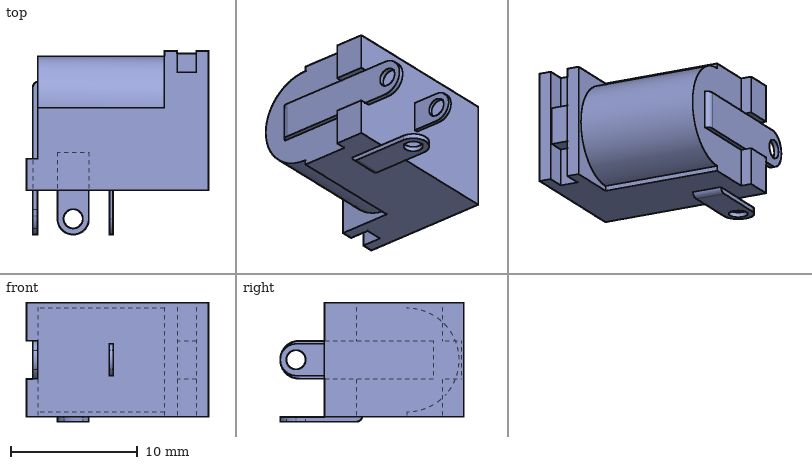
import cadquery as cq

LENGTH = 14.4
DEPTH = 11.0
HEIGHT = 9.0
MID_Z = HEIGHT / 2

BARREL_RADIUS = 4.1
BARREL_CENTER_Y = 6.5

FLANGE_THICKNESS = 3.5
FLANGE_X = LENGTH - FLANGE_THICKNESS

NOTCH_WIDTH = 1.5
NOTCH_DEPTH = 1.7
NOTCH_X = FLANGE_X + (FLANGE_THICKNESS - NOTCH_WIDTH) / 2
WEB_HEIGHT = 3.0
WEB_RECESS = 0.2

FOOT_LENGTH = 0.9
FOOT_DEPTH = 2.5

TERMINAL_REACH = 3.5
EYELET_RADIUS = 0.75
EYELET_TO_TIP = 1.25
EYELET_Y = EYELET_TO_TIP - TERMINAL_REACH
BEND_RADIUS = 0.5

END_WIDTH = 3.0
END_THICKNESS = 0.4
END_TOP_Y = 8.6

BASE_WIDTH = 2.5
BASE_THICKNESS = 0.4
BASE_TOP_Y = 3.0
BASE_CENTER_X = 3.7

SIDE_WIDTH = 2.5
SIDE_THICKNESS = 0.3
SIDE_X = 6.55

EMBED = 0.5


def box(x, y, z, length, depth, height):
    """Box with its lowest corner at (x, y, z)."""
    return cq.Workplane("XY").box(length, depth, height, centered=False).translate((x, y, z))


def make_housing():
    """Block with a half-round barrel, an end flange and a slotted foot."""
    block = box(FOOT_LENGTH, 0, 0, LENGTH - FOOT_LENGTH, BARREL_CENTER_Y, HEIGHT)
    barrel = (
        cq.Workplane("YZ", origin=(FOOT_LENGTH, 0, 0))
        .center(BARREL_CENTER_Y, MID_Z)
        .circle(BARREL_RADIUS)
        .extrude(LENGTH - FOOT_LENGTH)
    )
    flange = box(FLANGE_X, 0, 0, FLANGE_THICKNESS, DEPTH, HEIGHT)
    foot = box(0, 0, 0, FOOT_LENGTH, FOOT_DEPTH, HEIGHT)
    foot_slot = box(0, 0, MID_Z - END_WIDTH / 2, FOOT_LENGTH, FOOT_DEPTH, END_WIDTH)
    return block.union(barrel).union(flange).union(foot.cut(foot_slot))


def make_flange_notch():
    """Full-height notch volume, less the web that remains at mid-height."""
    notch = box(NOTCH_X, DEPTH - NOTCH_DEPTH, 0, NOTCH_WIDTH, NOTCH_DEPTH, HEIGHT)
    web_depth = NOTCH_DEPTH - WEB_RECESS
    web_z = MID_Z - WEB_HEIGHT / 2
    web = box(NOTCH_X, DEPTH - NOTCH_DEPTH, web_z, NOTCH_WIDTH, web_depth, WEB_HEIGHT)
    return notch.cut(web)


def make_blade(width, thickness, top_y):
    """Flat strip on Z = 0..thickness, centred on X = 0, with a round, pierced tip."""
    half_width = width / 2
    shoulder_y = half_width - TERMINAL_REACH
    return (
        cq.Workplane("XY")
        .moveTo(-half_width, top_y)
        .lineTo(-half_width, shoulder_y)
        .threePointArc((0, -TERMINAL_REACH), (half_width, shoulder_y))
        .lineTo(half_width, top_y)
        .close()
        .extrude(thickness)
        .cut(cq.Workplane("XY").center(0, EYELET_Y).circle(EYELET_RADIUS).extrude(thickness))
    )


def stand_upright(blade, x):
    """Turn a flat blade about Y so that its Z = 0 face becomes its -X face at x."""
    return blade.rotate((0, 0, 0), (0, 1, 0), 90).translate((x, 0, MID_Z))


def make_bent_blade(width, thickness, top_y):
    """Blade thickened where it sinks into the housing (Y > 0), with its inner end rounded as a bend."""
    blade = make_blade(width, thickness + EMBED, top_y)
    blade = blade.faces(">Y").edges("<Z").fillet(BEND_RADIUS)
    relief = box(-width / 2, -TERMINAL_REACH, thickness, width, TERMINAL_REACH, EMBED)
    return blade.cut(relief)


def make_end_terminal():
    blade = make_bent_blade(END_WIDTH, END_THICKNESS, END_TOP_Y)
    return stand_upright(blade, FOOT_LENGTH - END_THICKNESS)


def make_base_terminal():
    blade = make_bent_blade(BASE_WIDTH, BASE_THICKNESS, BASE_TOP_Y)
    return blade.translate((BASE_CENTER_X, 0, -BASE_THICKNESS))


def make_side_terminal():
    return stand_upright(make_blade(SIDE_WIDTH, SIDE_THICKNESS, EMBED), SIDE_X)


result = (
    make_housing()
    .cut(make_flange_notch())
    .union(make_end_terminal())
    .union(make_base_terminal())
    .union(make_side_terminal())
)